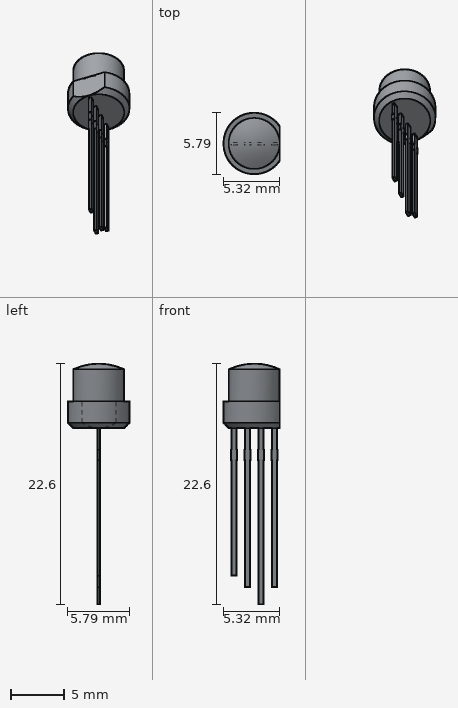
import cadquery as cq

total_height = 22.6
dome_height = 0.55
lens_height = 3.55
base_height = 2.5
base_top = total_height - lens_height
base_bottom = base_top - base_height

base_diameter = 5.79
base_chamfer = 0.5
lens_diameter = 4.8
lens_radius = lens_diameter / 2
flat_offset = 2.42

lead_pitch = 1.27
lead_width = 0.5
lead_thickness = 0.25
lead_tips = [2.71, 1.63, 0.0, 1.63]

tie_width = 0.59
tie_height = 1.0
tie_gap = 2.01


def make_base():
    """Round flange with a chamfered lower edge and a flat on the +X side."""
    disc = (
        cq.Workplane("XY")
        .workplane(offset=base_bottom)
        .circle(base_diameter / 2)
        .extrude(base_height)
        .faces("<Z")
        .chamfer(base_chamfer)
    )
    beyond_flat = (
        cq.Workplane("XY")
        .workplane(offset=base_bottom)
        .center(flat_offset + base_diameter / 2, 0)
        .rect(base_diameter, 2 * base_diameter)
        .extrude(base_height)
    )
    return disc.cut(beyond_flat)


def make_lens():
    """Cylinder on top of the base, closed by a shallow spherical dome."""
    shoulder = total_height - dome_height
    sphere_radius = (lens_radius**2 + dome_height**2) / (2 * dome_height)
    arc_x = lens_radius / 2
    sphere_center = total_height - sphere_radius
    arc_z = sphere_center + (sphere_radius**2 - arc_x**2) ** 0.5
    return (
        cq.Workplane("XZ")
        .moveTo(0, base_top)
        .lineTo(lens_radius, base_top)
        .lineTo(lens_radius, shoulder)
        .threePointArc((arc_x, arc_z), (0, total_height))
        .close()
        .revolve(360, (0, 0, 0), (0, 1, 0))
    )


def make_lead(x, tip):
    """Flat strip from the underside of the base to its tip, with one wide stretch."""
    strip = (
        cq.Workplane("XY")
        .workplane(offset=tip)
        .center(x, 0)
        .rect(lead_width, lead_thickness)
        .extrude(base_bottom - tip)
    )
    wide_stretch = (
        cq.Workplane("XY")
        .workplane(offset=base_bottom - tie_gap - tie_height)
        .center(x, 0)
        .rect(tie_width, lead_thickness)
        .extrude(tie_height)
    )
    return strip.union(wide_stretch)


base = make_base()
lens = make_lens()

leads = []
for index, tip in enumerate(lead_tips):
    lead_x = (index - (len(lead_tips) - 1) / 2) * lead_pitch
    leads.append(make_lead(lead_x, tip).val())

result = cq.Compound.makeCompound([base.val(), lens.val(), *leads])